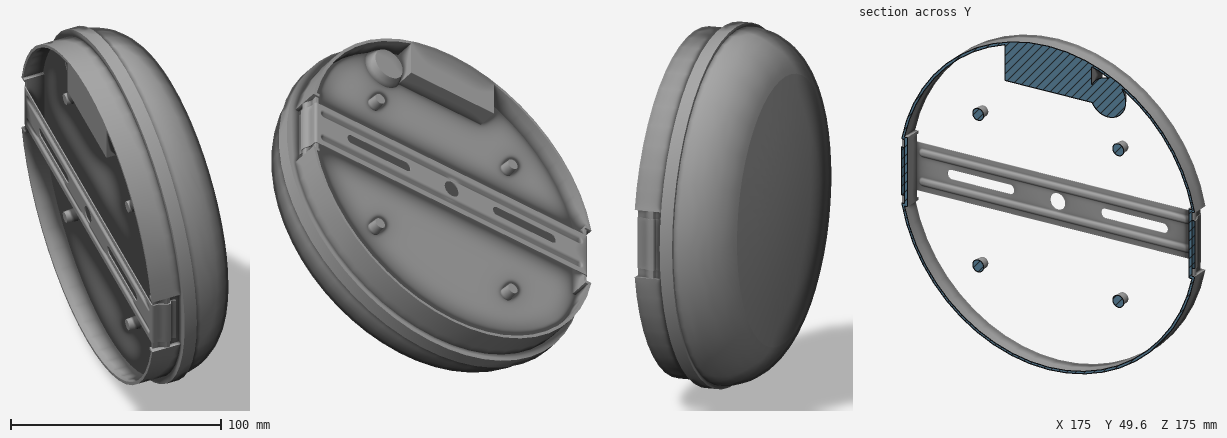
import cadquery as cq
import math


TOTAL_DEPTH = 49.55

FLANGE_RADIUS = 175 / 2
FLANGE_FRONT = 14.5
FLANGE_BACK = 20.75
RIM_RADIUS = 168 / 2
WALL = 1.5
FLOOR_DEPTH = 10.3

PIN_OFFSET = 39.3
PIN_BASE_RADIUS = 3.25
PIN_TIP_RADIUS = 2.75
PIN_LENGTH = 5.6

BLOCK_WIDTH = 49.0
BLOCK_BOTTOM = 60.3

BOSS_X = -33.5
BOSS_Z = 65.0
BOSS_BASE_RADIUS = 10.5
BOSS_TIP_RADIUS = 8.1
BOSS_HEIGHT = 4.8

POCKET_WIDTH = 33.0
PLATE_INNER_X = 78.8
PLATE_OUTER_X = PLATE_INNER_X + WALL
PLATE_TOP = 1.0
SNAP_HEIGHT = 1.75
SNAP_START = 4.5
SNAP_CREST_START = 7.65
SNAP_CREST_END = 9.2
SNAP_END = 9.75

SHEET = 0.5
BRACKET_WIDTH = 25.0
BRACKET_FRONT = PLATE_TOP - SHEET
BEND_RADIUS = 1.3
FOLD_RADIUS = 4.5
LEG_FLARE_START = 10.9
LEG_END = 12.5
LEG_FLARE = 0.5
CENTER_HOLE_DIAMETER = 8.5
SLOT_LENGTH = 37.5
SLOT_WIDTH = 5.0
SLOT_CENTER_X = 43.1

BEAD_OFFSET = 7.5
BEAD_LENGTH = 156.0
BEAD_HALF_WIDTH = 2.5
BEAD_HALF_FLAT = 0.25
BEAD_ANGLE = math.radians(60)
BEAD_RADIUS = (BEAD_HALF_WIDTH - BEAD_HALF_FLAT) / 2 / math.sin(BEAD_ANGLE)

DIFFUSER_RADIUS = 171.5 / 2
SHOULDER_RADIUS = 25.2
SHOULDER_DEPTH = 45.5

CUT_MARGIN = 1.0


def disc(radius, front, back):
    """Solid disc on the lamp axis between two depths."""
    return cq.Workplane("XZ", origin=(0, front, 0)).circle(radius).extrude(front - back)


def block(x_min, x_max, front, back, z_min, z_max):
    """Box given by its limits."""
    size = (x_max - x_min, back - front, z_max - z_min)
    return cq.Workplane().box(*size, centered=False).translate((x_min, front, z_min))


def stud(x, z, base_radius, tip_radius, height):
    """Tapered round stud rising from the floor toward the rim."""
    cone = cq.Solid.makeCone(
        base_radius, tip_radius, height, cq.Vector(x, FLOOR_DEPTH, z), cq.Vector(0, -1, 0)
    )
    return cq.Workplane(obj=cone)


def both_ends(end):
    """A feature of the +X end together with its mirror image at the -X end."""
    return end.union(end.mirror("YZ"))


def snap_ridge():
    """Ridge on the outside of the +X pocket plate that the bracket leg grips."""
    crest_x = PLATE_OUTER_X + SNAP_HEIGHT
    return (
        cq.Workplane("XY")
        .moveTo(PLATE_INNER_X, SNAP_START)
        .lineTo(PLATE_OUTER_X, SNAP_START)
        .lineTo(crest_x, SNAP_CREST_START)
        .lineTo(crest_x, SNAP_CREST_END)
        .lineTo(PLATE_OUTER_X, SNAP_END)
        .lineTo(PLATE_INNER_X, SNAP_END)
        .close()
        .extrude(POCKET_WIDTH / 2, both=True)
    )


def make_base():
    flange = disc(FLANGE_RADIUS, FLANGE_FRONT, FLANGE_BACK)
    rim = disc(RIM_RADIUS, 0, FLANGE_FRONT)
    tray = disc(RIM_RADIUS - WALL, 0, FLOOR_DEPTH)
    base = flange.union(rim.cut(tray))

    half_pocket = POCKET_WIDTH / 2
    half_frame = half_pocket + WALL
    frame = block(PLATE_INNER_X, FLANGE_RADIUS, 0, FLANGE_FRONT, -half_frame, half_frame).intersect(rim)
    opening = block(PLATE_OUTER_X, FLANGE_RADIUS, 0, FLANGE_FRONT, -half_pocket, half_pocket)
    plate_relief = block(PLATE_INNER_X, FLANGE_RADIUS, 0, PLATE_TOP, -half_pocket, half_pocket)
    base = base.union(both_ends(frame)).cut(both_ends(opening)).cut(both_ends(plate_relief))
    base = base.union(both_ends(snap_ridge()))

    half_block = BLOCK_WIDTH / 2
    base = base.union(
        block(-half_block, half_block, 0, FLANGE_FRONT, BLOCK_BOTTOM, FLANGE_RADIUS).intersect(rim)
    )
    boss = stud(BOSS_X, BOSS_Z, BOSS_BASE_RADIUS, BOSS_TIP_RADIUS, BOSS_HEIGHT)
    base = base.union(boss.intersect(rim))
    for x in (-PIN_OFFSET, PIN_OFFSET):
        for z in (-PIN_OFFSET, PIN_OFFSET):
            base = base.union(stud(x, z, PIN_BASE_RADIUS, PIN_TIP_RADIUS, PIN_LENGTH))
    return base


def half_chord_sagitta(radius, height):
    """Sagitta of the arc from the edge of a spherical cap to its crown."""
    sphere_radius = (radius**2 + height**2) / (2 * height)
    half_chord = math.hypot(radius, height) / 2
    return sphere_radius - math.sqrt(sphere_radius**2 - half_chord**2)


def make_diffuser():
    """Solid dome: rounded shoulder below a shallow spherical cap."""
    shoulder_height = SHOULDER_DEPTH - FLANGE_BACK
    reach = math.sqrt(SHOULDER_RADIUS**2 - shoulder_height**2)
    arc_center_x = DIFFUSER_RADIUS - SHOULDER_RADIUS
    cap_radius = arc_center_x + reach
    half_angle = math.asin(shoulder_height / SHOULDER_RADIUS) / 2
    shoulder_middle = (
        arc_center_x + SHOULDER_RADIUS * math.cos(half_angle),
        FLANGE_BACK + SHOULDER_RADIUS * math.sin(half_angle),
    )
    cap_height = TOTAL_DEPTH - SHOULDER_DEPTH
    return (
        cq.Workplane("XY")
        .moveTo(0, FLANGE_BACK)
        .lineTo(DIFFUSER_RADIUS, FLANGE_BACK)
        .threePointArc(shoulder_middle, (cap_radius, SHOULDER_DEPTH))
        .sagittaArc((0, TOTAL_DEPTH), -half_chord_sagitta(cap_radius, cap_height))
        .close()
        .revolve(360, (0, 0, 0), (0, 1, 0))
    )


def bracket_half():
    """+X half of the bent sheet: strip, round bend, snap fold over the ridge and flared end."""
    inner_bend = BEND_RADIUS - SHEET
    outer_x = PLATE_OUTER_X + SHEET
    bend_x = outer_x - BEND_RADIUS
    bend_y = BRACKET_FRONT + BEND_RADIUS
    diagonal = math.sqrt(0.5)

    def fold_shift(run):
        slope = math.atan2(SNAP_HEIGHT, run)
        return SHEET * math.tan(slope / 2)

    rise_shift = fold_shift(SNAP_CREST_START - SNAP_START)
    fall_shift = fold_shift(SNAP_END - SNAP_CREST_END)
    inner_crest = PLATE_OUTER_X + SNAP_HEIGHT
    outer_crest = outer_x + SNAP_HEIGHT
    fold_start = SNAP_START - rise_shift
    fold_crest = SNAP_CREST_START - rise_shift
    half = (
        cq.Workplane("XY")
        .moveTo(0, BRACKET_FRONT)
        .lineTo(bend_x, BRACKET_FRONT)
        .threePointArc(
            (bend_x + BEND_RADIUS * diagonal, bend_y - BEND_RADIUS * diagonal), (outer_x, bend_y)
        )
        .lineTo(outer_x, fold_start)
        .lineTo(outer_crest, fold_crest)
        .lineTo(outer_crest, SNAP_CREST_END + fall_shift)
        .lineTo(outer_x, SNAP_END + fall_shift)
        .lineTo(outer_x, LEG_FLARE_START)
        .lineTo(outer_x + LEG_FLARE, LEG_END)
        .lineTo(PLATE_OUTER_X + LEG_FLARE, LEG_END)
        .lineTo(PLATE_OUTER_X, LEG_FLARE_START)
        .lineTo(PLATE_OUTER_X, SNAP_END)
        .lineTo(inner_crest, SNAP_CREST_END)
        .lineTo(inner_crest, SNAP_CREST_START)
        .lineTo(PLATE_OUTER_X, SNAP_START)
        .lineTo(PLATE_OUTER_X, bend_y)
        .threePointArc(
            (bend_x + inner_bend * diagonal, bend_y - inner_bend * diagonal), (bend_x, PLATE_TOP)
        )
        .lineTo(0, PLATE_TOP)
        .close()
        .extrude(BRACKET_WIDTH / 2, both=True)
    )
    for corner in ((outer_x, fold_start, 0), (outer_crest, fold_crest, 0)):
        half = half.edges(cq.NearestToPointSelector(corner)).fillet(FOLD_RADIUS)
    return half


def bead_half_profile(plane, offset):
    """Half of a bead's S-shaped section, on a sheet face at the given offset from the front."""
    lip_radius = BEAD_RADIUS - offset
    trough_radius = BEAD_RADIUS + offset
    trough_center = BEAD_RADIUS * (1 - 2 * math.cos(BEAD_ANGLE))

    def lip(angle):
        return (
            BEAD_HALF_WIDTH - lip_radius * math.sin(angle),
            BEAD_RADIUS - lip_radius * math.cos(angle),
        )

    def trough(angle):
        return (
            BEAD_HALF_FLAT + trough_radius * math.sin(angle),
            trough_center + trough_radius * math.cos(angle),
        )

    return (
        plane.moveTo(0, offset)
        .lineTo(*lip(0))
        .threePointArc(lip(BEAD_ANGLE / 2), lip(BEAD_ANGLE))
        .threePointArc(trough(BEAD_ANGLE / 2), trough(0))
        .lineTo(0, trough_center + trough_radius)
        .close()
    )


def bead(offset):
    """Full bead with rounded ends, centred on the bracket's front face."""
    half_run = BEAD_LENGTH / 2 - BEAD_HALF_WIDTH
    section_plane = cq.Plane(origin=(0, 0, 0), xDir=(0, 0, 1), normal=(-1, 0, 0))
    half = bead_half_profile(cq.Workplane(section_plane), offset).extrude(half_run, both=True)
    body = half.union(half.mirror("XY"))
    round_end = bead_half_profile(cq.Workplane("XY"), offset).revolve(360, (0, 0, 0), (0, 1, 0))
    for x in (-half_run, half_run):
        body = body.union(round_end.translate((x, 0, 0)))
    return body.translate((0, BRACKET_FRONT, 0))


def make_bracket():
    bracket = both_ends(bracket_half())
    back_bead = bead(SHEET)
    front_bead = bead(0)
    for z in (-BEAD_OFFSET, BEAD_OFFSET):
        bracket = bracket.union(back_bead.translate((0, 0, z))).cut(front_bead.translate((0, 0, z)))

    cutters = cq.Workplane("XZ", origin=(0, PLATE_TOP + CUT_MARGIN, 0))
    cut_depth = SHEET + 2 * CUT_MARGIN
    hole = cutters.circle(CENTER_HOLE_DIAMETER / 2).extrude(cut_depth)
    slots = (
        cutters.pushPoints([(-SLOT_CENTER_X, 0), (SLOT_CENTER_X, 0)])
        .slot2D(SLOT_LENGTH, SLOT_WIDTH)
        .extrude(cut_depth)
    )
    return bracket.cut(hole).cut(slots).solids()


bracket = make_bracket()
base = make_base().cut(bracket).solids()
diffuser = make_diffuser()

result = cq.Compound.makeCompound([base.val(), diffuser.val(), bracket.val()])